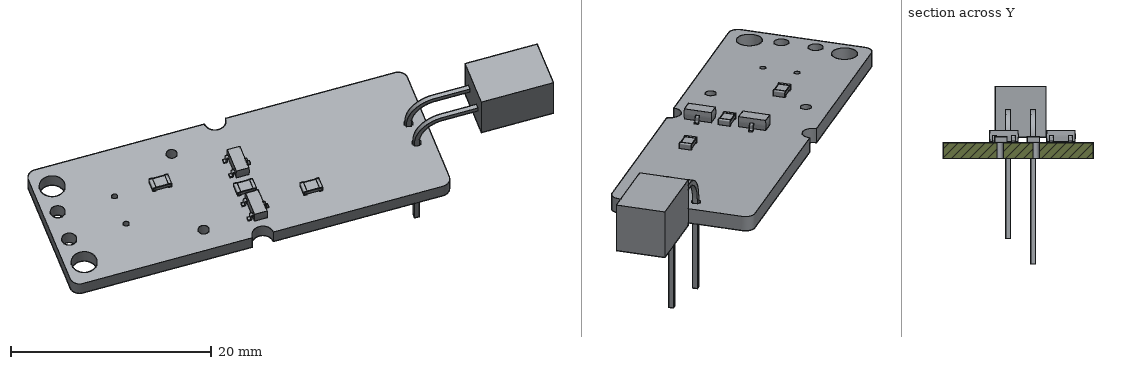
import cadquery as cq


overall_length = 52.26
overall_height = 17.78

board_width = 15.0
board_length = 40.0
board_thickness = 1.6
corner_radius = 1.0
notch_radius = 1.1
notch_y = board_length / 2
mount_hole = {"diameter": 2.6, "half_spacing": 5.0, "y": 2.0}
wire_hole = {"diameter": 1.5, "half_spacing": 1.8, "y": 1.5}
pad_hole = {"diameter": 0.6, "half_spacing": 1.8, "y": 7.5}
guide_hole = {"diameter": 1.1, "half_spacing": 5.0, "y": 14.6}
lead_hole_diameter = 0.9
lead_hole_pitch = 2.54
lead_hole_center_x = 0.19
lead_hole_y = 38.25

sensor_x = 0.23
sensor_width = 5.1
sensor_length = 7.62
sensor_height = 5.1
sensor_front_y = overall_length - sensor_length
sensor_base_z = 2.14
sensor_axis_z = sensor_base_z + sensor_height / 2
lead_pitch = 2.5
lead_size = 0.5
lead_y = 38.2
lead_bend_radius = 2.7
lead_length_difference = 2.54
long_lead_tip_z = sensor_base_z + sensor_height - overall_height
short_lead_tip_z = long_lead_tip_z + lead_length_difference
lead_tips = [
    (sensor_x - lead_pitch / 2, short_lead_tip_z),
    (sensor_x + lead_pitch / 2, long_lead_tip_z),
]

transistor_places = [(-1.44, 20.41), (4.26, 20.41)]
transistor_width = 2.9
transistor_depth = 1.4
transistor_standoff = 0.1
transistor_height = 1.22
transistor_draft_angle = 4
leg_width = 0.4
leg_thickness = 0.15
leg_span = 2.5
leg_shank_from_body = 0.3
leg_inner_bend = 0.05
leg_outer_bend = leg_inner_bend + leg_thickness
leg_half_pitch = 0.95
waist_height = 0.65

chip_places = [(3.55, 26.45), (1.5, 20.15), (-1.73, 12.3)]
chip_width = 1.25
chip_length = 2.0
chip_height = 0.6
cap_length = 0.35
cap_wall = 0.1
cap_rounding = 0.1
core_side_inset = 0.02
coating_thickness = 0.08
coating_side_inset = 0.04


def drill_pair(board, hole):
    """Cut two equal through holes placed symmetrically about the board's middle line."""
    places = [(-hole["half_spacing"], hole["y"]), (hole["half_spacing"], hole["y"])]
    return board.cut(through_holes(places, hole["diameter"] / 2))


def through_holes(places, radius):
    return cq.Workplane("XY").pushPoints(places).circle(radius).extrude(board_thickness)


def make_board():
    board = (
        cq.Workplane("XY")
        .box(board_width, board_length, board_thickness, centered=(True, False, False))
        .edges("|Z")
        .fillet(corner_radius)
    )
    notch_places = [(-board_width / 2, notch_y), (board_width / 2, notch_y)]
    board = board.cut(through_holes(notch_places, notch_radius))
    for hole in (mount_hole, wire_hole, pad_hole, guide_hole):
        board = drill_pair(board, hole)
    lead_places = [(lead_hole_center_x + side * lead_hole_pitch / 2, lead_hole_y) for side in (-1, 1)]
    return board.cut(through_holes(lead_places, lead_hole_diameter / 2))


def make_sensor_lead(x, tip_z):
    """Square lead rising through the board and bending back into the sensor block."""
    path = (
        cq.Workplane("YZ", origin=(x, 0, 0))
        .moveTo(lead_y, tip_z)
        .lineTo(lead_y, sensor_axis_z - lead_bend_radius)
        .tangentArcPoint((lead_y + lead_bend_radius, sensor_axis_z), relative=False)
        .lineTo(sensor_front_y, sensor_axis_z)
    )
    section = cq.Workplane("XY", origin=(x, lead_y, tip_z)).rect(lead_size, lead_size)
    return section.sweep(path)


def make_sensor():
    sensor = cq.Workplane("XY", origin=(sensor_x, sensor_front_y, sensor_base_z)).box(
        sensor_width, sensor_length, sensor_height, centered=(True, False, False)
    )
    for x, tip_z in lead_tips:
        sensor = sensor.union(make_sensor_lead(x, tip_z))
    return sensor


def make_transistor_leg(x, angle):
    """Gull-wing leg leaving the body's waist along +Y, then turned about Z by the angle and moved to x."""
    shank_outer_y = transistor_depth / 2 + leg_shank_from_body
    shank_inner_y = shank_outer_y - leg_thickness
    foot_y = leg_span / 2
    waist_top = waist_height + leg_thickness / 2
    waist_bottom = waist_top - leg_thickness
    leg = (
        cq.Workplane("YZ")
        .moveTo(0, waist_top)
        .lineTo(shank_outer_y - leg_outer_bend, waist_top)
        .tangentArcPoint((leg_outer_bend, -leg_outer_bend))
        .lineTo(shank_outer_y, leg_thickness + leg_inner_bend)
        .tangentArcPoint((leg_inner_bend, -leg_inner_bend))
        .lineTo(foot_y, leg_thickness)
        .lineTo(foot_y, 0)
        .lineTo(shank_inner_y + leg_outer_bend, 0)
        .tangentArcPoint((-leg_outer_bend, leg_outer_bend))
        .lineTo(shank_inner_y, waist_bottom - leg_inner_bend)
        .tangentArcPoint((-leg_inner_bend, leg_inner_bend))
        .lineTo(0, waist_bottom)
        .close()
        .extrude(leg_width / 2, both=True)
    )
    return leg.rotate((0, 0, 0), (0, 0, 1), angle).translate((x, 0, 0))


def transistor_section(z):
    return cq.Workplane("XY", origin=(0, 0, z)).rect(transistor_width, transistor_depth)


def make_transistor(x, y):
    band_top = waist_height + leg_thickness / 2
    band_bottom = band_top - leg_thickness
    band = transistor_section(band_bottom).extrude(leg_thickness)
    upper = transistor_section(band_top).extrude(
        transistor_height - band_top, taper=transistor_draft_angle
    )
    lower = transistor_section(band_bottom).extrude(
        transistor_standoff - band_bottom, taper=transistor_draft_angle
    )
    transistor = band.union(upper).union(lower)
    for leg_x, angle in [(-leg_half_pitch, 180), (leg_half_pitch, 180), (0, 0)]:
        transistor = transistor.union(make_transistor_leg(leg_x, angle))
    return transistor.translate((x, y, board_thickness))


def make_chip_cap(side):
    """C-shaped cap for the chip's end on the given Y side, open at both X faces."""
    cap_y = side * (chip_length - cap_length) / 2
    end_face = ">Y" if side > 0 else "<Y"
    hollow = cq.Workplane("XY", origin=(0, 0, cap_wall)).box(
        chip_width,
        chip_length - 2 * cap_wall,
        chip_height - 2 * cap_wall,
        centered=(True, True, False),
    )
    return (
        cq.Workplane("XY", origin=(0, cap_y, 0))
        .box(chip_width, cap_length, chip_height, centered=(True, True, False))
        .faces(end_face)
        .edges("|X")
        .fillet(cap_rounding)
        .cut(hollow)
    )


def make_chip(x, y):
    """Ceramic core with a thin top coating and a rounded metal cap wrapped over each end."""
    core = cq.Workplane("XY", origin=(0, 0, cap_wall)).box(
        chip_width - 2 * core_side_inset,
        chip_length - 2 * cap_wall,
        chip_height - 2 * cap_wall,
        centered=(True, True, False),
    )
    coating = cq.Workplane("XY", origin=(0, 0, chip_height - cap_wall)).box(
        chip_width - 2 * coating_side_inset,
        chip_length - 2 * cap_length,
        coating_thickness,
        centered=(True, True, False),
    )
    chip = core.union(coating)
    for side in (-1, 1):
        chip = chip.union(make_chip_cap(side))
    return chip.translate((x, y, board_thickness))


board = make_board()
sensor = make_sensor()
transistors = [make_transistor(x, y) for x, y in transistor_places]
chips = [make_chip(x, y) for x, y in chip_places]

result = cq.Compound.makeCompound(
    [body.val() for body in [board, sensor, *transistors, *chips]]
)